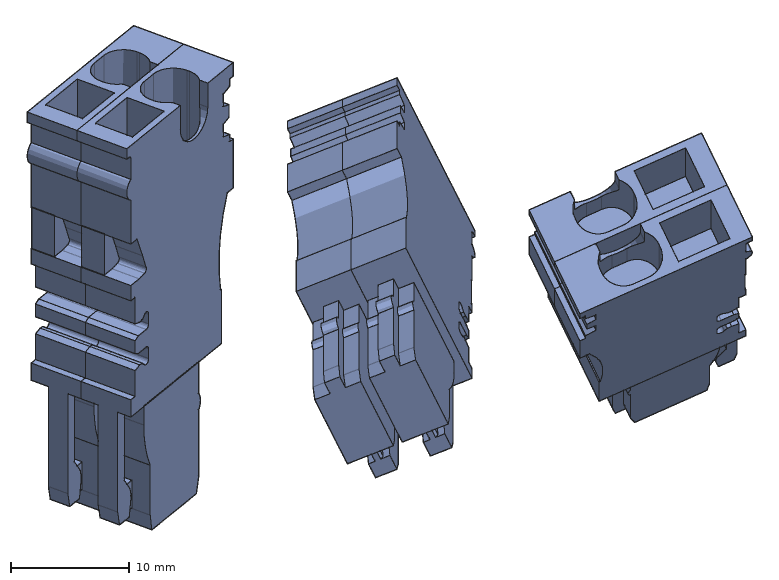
import cadquery as cq

module_count = 2
module_width = 5.1

height = 40.75
depth = 16.15
housing_bottom = 13.25
front_face = 0.6
lip_bottom = 39.7
lip_fillet = 0.25

shoulder_bottom = 28.05
waist_top_y = 15.25
waist_deepest_y = 13.98
waist_deepest_z = 21.6
waist_bottom_y = 14.22
waist_bottom_z = 18.75
rear_face_low = 14.35

ridge_z = 36.25
ridge_half_height = 1.05
ridge_radius = (ridge_half_height**2 + front_face**2) / (2 * front_face)

recess_bottom = 15.0
recess_top = 25.02
recess_y = 1.25
groove_middle_z = 19.95
groove_floor_y = 3.3
groove_near_mouth = 0.65
groove_near_side = 0.9
groove_bevel_y = 1.75
groove_corner_radius = 0.35
groove_undercut_start = 2.25
groove_undercut_y = 2.95
groove_undercut_depth = 2.65
groove_undercut_end_y = 2.6
groove_undercut_end = 2.45
groove_lip_inner_y = 2.35
groove_lip_inner = 2.2
groove_lip_outer_y = 1.95
groove_lip_outer = 2.15
groove_far_mouth = 2.35

grip_bottom = 33.0
grip_top = 39.35
grip_middle_z = (grip_bottom + grip_top) / 2
grip_recess_y = 15.6
grip_rib_y = 15.5
grip_floor_y = 14.63
grip_near_mouth = 0.65
grip_near_floor = 0.9
grip_far_floor = 2.15
grip_far_mouth = 2.45

wire_hole_x = 2.65
wire_hole_y = 10.2
wire_hole_width = 4.3
wire_hole_length = 5.45
wire_hole_corner = 2.05
window_radius = 2.08
window_axis_z = 38.3

tool_hole_x = 2.55
tool_hole_y = 4.2
tool_hole_width = 3.8
tool_hole_length = 4.8
hole_depth = 8.15

notch_x = 2.32
notch_bottom = 26.55
notch_top = 30.75
notch_sill_y = 1.87
notch_ramp_y = 2.7
notch_ramp_top = 26.7
notch_deepest_y = 2.9
notch_deepest_z = 27.22
notch_bend_y = 2.4
notch_bend_z = 28.6
notch_roof_y = 1.55
panel_sink = 0.1

prong_x = 0.75
prong_width = 4.28
prong_rear_y = 11.05
prong_neck_y = 2.7
prong_front_y = 3.65
prong_curve_top = 11.3
prong_curve_bottom = 6.7
prong_taper_z = 1.65
prong_tip_front_y = 3.9
prong_tip_rear_y = 10.68
bump_z = 9.13
bump_half_height = 0.8
bump_rise = 0.25

rib_inset = 1.43
rib_rear_y = 12.05
rib_tip_rear_y = 11.8
rib_bump_half_height = 1.0
rib_bump_rise = 0.5

arm_x = 1.75
arm_width = 2.0
arm_thickness = 1.0
arm_bottom = 1.67
arm_taper_z = 3.15
arm_tip_front_y = 0.9
arm_slope_top = 5.8
hook_top_y = 2.5
hook_top_z = 4.5
hook_peak_y = 2.65
hook_peak_z = 3.65
hook_bottom_y = 2.35
web_inset = 0.6
web_chamfer = 0.25


def side_sketch(x):
    """Workplane at the given X whose local axes are Y and Z."""
    return cq.Workplane("YZ", origin=(x, 0, 0))


def housing_block():
    """Housing outline with the lip, the recesses and the hollow rear."""
    return (
        side_sketch(0)
        .moveTo(front_face, housing_bottom)
        .lineTo(front_face, recess_bottom)
        .lineTo(recess_y, recess_bottom)
        .lineTo(recess_y, recess_top)
        .lineTo(front_face, recess_top)
        .lineTo(front_face, lip_bottom - lip_fillet)
        .radiusArc((front_face - lip_fillet, lip_bottom), -lip_fillet)
        .lineTo(0, lip_bottom)
        .lineTo(0, height)
        .lineTo(depth, height)
        .lineTo(depth, grip_top)
        .lineTo(grip_recess_y, grip_top)
        .lineTo(grip_recess_y, grip_bottom)
        .lineTo(depth, grip_bottom)
        .lineTo(depth, shoulder_bottom)
        .lineTo(waist_top_y, shoulder_bottom)
        .threePointArc((waist_deepest_y, waist_deepest_z), (waist_bottom_y, waist_bottom_z))
        .lineTo(rear_face_low, waist_bottom_z)
        .lineTo(rear_face_low, housing_bottom)
        .close()
        .extrude(module_width)
    )


def front_ridge():
    return (
        side_sketch(0)
        .center(ridge_radius, ridge_z)
        .circle(ridge_radius)
        .extrude(module_width)
    )


def grip_grooves():
    """Two tapered grooves and the lowered rib between them."""
    rib_relief = cq.Workplane("XY").box(
        module_width, depth - grip_rib_y, 2 * grip_near_floor, centered=(False, False, True)
    ).translate((0, grip_rib_y, grip_middle_z))
    for side in (1, -1):
        groove = (
            side_sketch(0)
            .moveTo(grip_rib_y, grip_middle_z + side * grip_near_mouth)
            .lineTo(grip_floor_y, grip_middle_z + side * grip_near_floor)
            .lineTo(grip_floor_y, grip_middle_z + side * grip_far_floor)
            .lineTo(grip_recess_y, grip_middle_z + side * grip_far_mouth)
            .lineTo(depth, grip_middle_z + side * grip_far_mouth)
            .lineTo(depth, grip_middle_z + side * grip_near_mouth)
            .close()
            .extrude(module_width)
        )
        rib_relief = rib_relief.union(groove)
    return rib_relief


def latch_groove(side):
    """One undercut groove; side is +1 above the middle bar and -1 below it."""

    def at(y, offset):
        return (y, groove_middle_z + side * offset)

    return (
        side_sketch(0)
        .moveTo(*at(recess_y, groove_near_mouth))
        .lineTo(*at(groove_bevel_y, groove_near_side))
        .lineTo(*at(groove_floor_y - groove_corner_radius, groove_near_side))
        .radiusArc(
            at(groove_floor_y, groove_near_side + groove_corner_radius),
            -side * groove_corner_radius,
        )
        .lineTo(*at(groove_floor_y, groove_undercut_start))
        .threePointArc(
            at(groove_undercut_y, groove_undercut_depth),
            at(groove_undercut_end_y, groove_undercut_end),
        )
        .lineTo(*at(groove_lip_inner_y, groove_lip_inner))
        .lineTo(*at(groove_lip_outer_y, groove_lip_outer))
        .lineTo(*at(recess_y, groove_far_mouth))
        .close()
        .extrude(module_width)
    )


def wire_hole():
    """Upright hole with large corner rounds plus its round-bottomed window in the +X wall."""
    hole = (
        cq.Workplane("XY", origin=(wire_hole_x, wire_hole_y, height))
        .rect(wire_hole_width, wire_hole_length)
        .extrude(-hole_depth)
        .edges("|Z")
        .fillet(wire_hole_corner)
    )
    window = (
        side_sketch(wire_hole_x)
        .moveTo(wire_hole_y - window_radius, height)
        .lineTo(wire_hole_y - window_radius, window_axis_z)
        .threePointArc(
            (wire_hole_y, window_axis_z - window_radius),
            (wire_hole_y + window_radius, window_axis_z),
        )
        .lineTo(wire_hole_y + window_radius, height)
        .close()
        .extrude(module_width - wire_hole_x)
    )
    return hole.union(window)


def tool_hole():
    return (
        cq.Workplane("XY", origin=(tool_hole_x, tool_hole_y, height))
        .rect(tool_hole_width, tool_hole_length)
        .extrude(-hole_depth)
    )


def front_notch():
    """Notch with a flat roof, a sloping back, a rounded corner and a nearly flat sill."""
    return (
        side_sketch(notch_x)
        .moveTo(front_face, notch_bottom)
        .lineTo(notch_sill_y, notch_bottom)
        .lineTo(notch_ramp_y, notch_ramp_top)
        .tangentArcPoint((notch_deepest_y, notch_deepest_z), relative=False)
        .lineTo(notch_bend_y, notch_bend_z)
        .lineTo(notch_roof_y, notch_top)
        .lineTo(front_face, notch_top)
        .close()
        .extrude(module_width - notch_x)
    )


def sunk_panel():
    return cq.Workplane("XY").box(
        notch_x, panel_sink, notch_top - notch_bottom, centered=False
    ).translate((0, front_face, notch_bottom))


def prong_shape(x, width, rear_y, tip_rear_y, bump_half, rise):
    """Prong-shaped plate with a rounded bump on its rear edge and a tapered tip."""
    curve_run = prong_front_y - prong_neck_y
    curve_drop = prong_curve_top - prong_curve_bottom
    curve_radius = (curve_run**2 + curve_drop**2) / (2 * curve_run)
    return (
        side_sketch(x)
        .moveTo(prong_neck_y, housing_bottom)
        .lineTo(prong_neck_y, prong_curve_top)
        .radiusArc((prong_front_y, prong_curve_bottom), -curve_radius)
        .lineTo(prong_front_y, prong_taper_z)
        .lineTo(prong_tip_front_y, 0)
        .lineTo(tip_rear_y, 0)
        .lineTo(rear_y, prong_taper_z)
        .lineTo(rear_y, bump_z - bump_half)
        .threePointArc((rear_y + rise, bump_z), (rear_y, bump_z + bump_half))
        .lineTo(rear_y, housing_bottom)
        .close()
        .extrude(width)
    )


def prong():
    blade = prong_shape(
        prong_x, prong_width, prong_rear_y, prong_tip_rear_y, bump_half_height, bump_rise
    )
    rib = prong_shape(
        prong_x + rib_inset,
        prong_width - 2 * rib_inset,
        rib_rear_y,
        rib_tip_rear_y,
        rib_bump_half_height,
        rib_bump_rise,
    )
    return blade.union(rib)


def latch_arm():
    """Slim arm hanging from the housing, hooked at its lower end."""
    return (
        side_sketch(arm_x)
        .moveTo(front_face, housing_bottom)
        .lineTo(front_face, arm_taper_z)
        .lineTo(arm_tip_front_y, arm_bottom)
        .lineTo(hook_bottom_y, arm_bottom)
        .lineTo(hook_peak_y, hook_peak_z)
        .lineTo(hook_top_y, hook_top_z)
        .lineTo(front_face + arm_thickness, arm_slope_top)
        .lineTo(front_face + arm_thickness, housing_bottom)
        .close()
        .extrude(arm_width)
    )


def arm_web():
    """Narrow web between the hook and the prong."""
    web_front_y = (arm_tip_front_y + hook_bottom_y) / 2
    return (
        cq.Workplane("XY")
        .box(
            arm_width - 2 * web_inset,
            prong_front_y - web_front_y,
            hook_top_z - arm_bottom,
            centered=False,
        )
        .translate((arm_x + web_inset, web_front_y, arm_bottom))
        .edges("|Y and <X and <Z")
        .chamfer(web_chamfer)
    )


def plug_module():
    housing = housing_block().union(front_ridge())
    housing = housing.cut(grip_grooves())
    for side in (1, -1):
        housing = housing.cut(latch_groove(side))
    housing = housing.cut(wire_hole()).cut(tool_hole())
    housing = housing.cut(front_notch()).cut(sunk_panel())
    return housing.union(prong()).union(latch_arm()).union(arm_web())


modules = [
    plug_module().translate((index * module_width, 0, 0)).val() for index in range(module_count)
]
result = cq.Compound.makeCompound(modules)